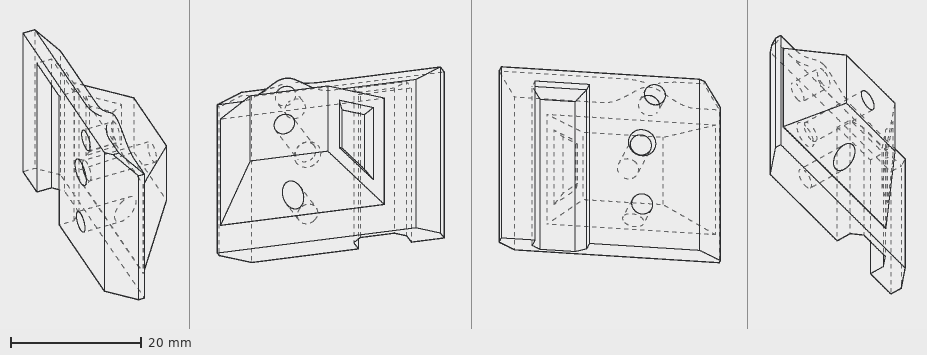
import cadquery as cq
import math

plate_width = 35.0
plate_height = 28.0
plate_thickness = 5.0
rear_bevel = 3.0
corner_cut = 2.98
front_bevel = 4.0

boss_depth = 7.0
boss_left = 15.0
boss_right = 27.5
boss_bottom = 11.5
boss_top = 22.5
boss_flare = 6.93

recess_margin = 2.0
recess_depth = 1.0
recess_taper = 45.0

groove_left = 5.3
groove_right = 13.8
groove_top = 26.0
groove_straight_depth = 2.5
groove_taper_depth = 1.5
groove_taper = 45.0
groove_runout = 1.75

hole_diameter = 3.3
hole_column_x = 22.0
lower_hole_z = 7.0
middle_hole_z = 17.0
upper_hole_x = 24.0
upper_hole_z = 25.0
countersink_diameter = 4.27
countersink_depth = 1.0

hole_wall_radius = plate_height - upper_hole_z
hole_wall_blend = 5.0

bevel_start = plate_thickness - rear_bevel


def plate():
    section = (
        cq.Workplane("XY")
        .moveTo(0, 0)
        .lineTo(plate_width - front_bevel, 0)
        .lineTo(plate_width, front_bevel)
        .lineTo(plate_width, plate_thickness)
        .lineTo(rear_bevel, plate_thickness)
        .lineTo(0, bevel_start)
        .close()
        .extrude(plate_height)
    )
    corner = (
        cq.Workplane("XZ")
        .moveTo(plate_width - corner_cut, plate_height)
        .lineTo(plate_width, plate_height)
        .lineTo(plate_width, plate_height - corner_cut)
        .close()
        .extrude(-plate_thickness)
    )
    return section.cut(corner)


def top_bevel_cutter():
    """Space above the 45 degree top bevel, with a rounded corner where it meets the upper hole's wall.

    A core is drawn one blend radius away from both the bevel and the wall. Growing the core back
    by that radius rounds its sharp edge and makes it touch both surfaces.
    """
    reach = plate_width
    core_start = bevel_start + hole_wall_blend * math.sqrt(2)
    core = (
        cq.Workplane("YZ", origin=(-reach, 0, 0))
        .moveTo(core_start - reach, plate_height + reach)
        .lineTo(core_start + reach, plate_height - reach)
        .lineTo(core_start + reach, plate_height + reach)
        .close()
        .extrude(3 * reach)
    )
    wall_clearance = (
        cq.Workplane("XZ", origin=(0, -reach, 0))
        .center(upper_hole_x, upper_hole_z)
        .circle(hole_wall_radius + hole_wall_blend)
        .extrude(-3 * reach)
    )
    core = core.cut(wall_clearance)
    return core.union(core.shell(hole_wall_blend, kind="arc"))


def boss():
    block = (
        cq.Workplane("XZ", origin=(0, plate_thickness, 0))
        .moveTo(boss_left - boss_flare, boss_bottom - boss_flare)
        .lineTo(boss_right + boss_flare, boss_bottom - boss_flare)
        .lineTo(boss_right + boss_flare, boss_top)
        .lineTo(boss_left - boss_flare, boss_top)
        .close()
        .extrude(-boss_depth)
    )
    return block.faces(">Y").edges("<X or >X or <Z").chamfer(boss_flare)


def boss_recess():
    """Tapered recess with an even margin inside the left flank."""
    flank = cq.Plane(
        origin=(boss_left, plate_thickness + boss_depth, 0),
        xDir=(-1, -1, 0),
        normal=(-1, 1, 0),
    )
    slant = boss_depth * math.sqrt(2)
    return (
        cq.Workplane(flank)
        .moveTo(0, boss_bottom)
        .lineTo(slant, boss_bottom - boss_depth)
        .lineTo(slant, boss_top)
        .lineTo(0, boss_top)
        .close()
        .offset2D(-recess_margin)
        .extrude(-recess_depth, taper=recess_taper)
    )


def groove_slab(start, depth, taper):
    """Piece of the groove going inward from the depth start; its lower end lies below the plate."""
    return (
        cq.Workplane("XZ", origin=(0, start, 0))
        .moveTo(groove_left, -groove_runout)
        .lineTo(groove_right, -groove_runout)
        .lineTo(groove_right, groove_top)
        .lineTo(groove_left, groove_top)
        .close()
        .extrude(-depth, taper=taper)
    )


def front_groove():
    """Groove with straight walls at its mouth that slope inward down to its floor."""
    mouth = groove_slab(0, groove_straight_depth, 0)
    inner = groove_slab(groove_straight_depth, groove_taper_depth, groove_taper)
    return mouth.union(inner)


def hole(x, z):
    return (
        cq.Workplane("XZ")
        .center(x, z)
        .circle(hole_diameter / 2)
        .extrude(-(plate_thickness + boss_depth))
    )


def countersink(x, z):
    return (
        cq.Workplane("XZ")
        .center(x, z)
        .circle(countersink_diameter / 2)
        .workplane(offset=-countersink_depth)
        .circle(hole_diameter / 2)
        .loft()
    )


result = plate().cut(top_bevel_cutter()).union(boss())
result = result.cut(boss_recess()).cut(front_groove())
hole_places = (
    (hole_column_x, lower_hole_z),
    (hole_column_x, middle_hole_z),
    (upper_hole_x, upper_hole_z),
)
for x, z in hole_places:
    result = result.cut(hole(x, z))
result = result.cut(countersink(hole_column_x, middle_hole_z))